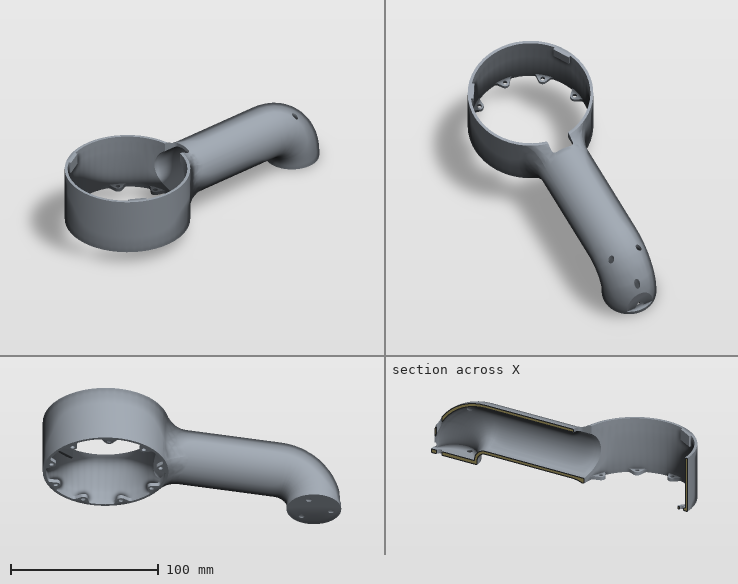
import cadquery as cq
import math

RING_RADIUS = 42.5
RING_BORE_RADIUS = 40.5
RING_HEIGHT = 40.0
WALL_MIDDLE_RADIUS = (RING_RADIUS + RING_BORE_RADIUS) / 2

ARM_RADIUS = 18.5
ARM_BORE_RADIUS = 16.0
ARM_HEIGHT = RING_HEIGHT / 2
ARM_ROOT_FILLET = 20.0

BEND_START = 120.0
BEND_RADIUS = 25.0
FLANGE_THICKNESS = 3.0
FLANGE_Y = BEND_START + BEND_RADIUS
FLANGE_TOP = ARM_HEIGHT - BEND_RADIUS
FLAT_FROM_FLANGE_CENTRE = 15.7

SCREW_COUNT = 3
SCREW_CIRCLE_RADIUS = 12.0
SCREW_HOLE_RADIUS = 2.0

SLOT_WIDTH = 16.0
SLOT_END = 49.0
SLOT_CORNER_RADIUS = 2.5

EAR_COUNT = 9
EAR_CIRCLE_RADIUS = 37.5
EAR_RADIUS = 3.0
EAR_HOLE_RADIUS = 1.5
EAR_THICKNESS = 2.5
EAR_FLANK_ANGLE = 36.0
EAR_ROOT_FILLET = 2.0
EAR_FIRST_ANGLE = -90.0

PAD_ANGLES = (-30.0, -150.0)
PAD_DISTANCE = 38.3
PAD_WIDTH = 12.5
PAD_HEIGHT = 8.0

ROOT_MARGIN = 1.0
TOLERANCE = 0.01


def cylinder(radius, height, bottom=0.0, x=0.0, y=0.0):
    return cq.Workplane("XY", origin=(x, y, bottom)).circle(radius).extrude(height)


def arm_section(y):
    """Workplane across the arm axis, with its local x axis pointing along Z."""
    return cq.Workplane(cq.Plane(origin=(0, y, ARM_HEIGHT), xDir=(0, 0, 1), normal=(0, 1, 0)))


def arm_run(radius):
    """Straight rod from the ring centre to the start of the bend."""
    return arm_section(0).circle(radius).extrude(BEND_START)


def elbow(radius):
    """Quarter torus from the end of the arm down to the flange."""
    section = arm_section(BEND_START).circle(radius)
    return section.revolve(90, (-BEND_RADIUS, 1, 0), (-BEND_RADIUS, -1, 0))


def ear_blank():
    """Rounded ear with flared flanks, pointing along +X before it is turned."""
    angle = math.radians(EAR_FLANK_ANGLE)
    tangent_x = EAR_CIRCLE_RADIUS - EAR_RADIUS * math.sin(angle)
    tangent_y = EAR_RADIUS * math.cos(angle)
    root_x = RING_BORE_RADIUS
    root_y = tangent_y + (root_x - tangent_x) * math.tan(angle)
    return (
        cq.Workplane("XY")
        .moveTo(root_x, -root_y)
        .lineTo(tangent_x, -tangent_y)
        .threePointArc((EAR_CIRCLE_RADIUS - EAR_RADIUS, 0), (tangent_x, tangent_y))
        .lineTo(root_x, root_y)
        .close()
        .extrude(EAR_THICKNESS)
    )


def filleted_shell():
    """Solid ring disc and arm, blended where they meet."""
    disc = cylinder(RING_RADIUS, RING_HEIGHT)
    joined = disc.union(arm_run(ARM_RADIUS))
    root_edge = joined.edges(
        cq.selectors.BoxSelector(
            (-ARM_RADIUS, RING_RADIUS / 2, ROOT_MARGIN),
            (ARM_RADIUS, RING_RADIUS + ROOT_MARGIN, RING_HEIGHT - ROOT_MARGIN),
        )
    )
    return root_edge.fillet(ARM_ROOT_FILLET)


def flanged_elbow():
    """Elbow with a flat on its back, on its round flange plate."""
    flat_y = FLANGE_Y + FLAT_FROM_FLANGE_CENTRE
    behind_flat = cq.Workplane("XY", origin=(0, flat_y, FLANGE_TOP)).box(
        2 * ARM_RADIUS, ARM_RADIUS, RING_HEIGHT, centered=(True, False, False)
    )
    flange = cylinder(ARM_RADIUS, FLANGE_THICKNESS, FLANGE_TOP - FLANGE_THICKNESS, y=FLANGE_Y)
    return elbow(ARM_RADIUS).cut(elbow(ARM_BORE_RADIUS)).cut(behind_flat).union(flange)


def screw_holes():
    holes = cq.Workplane("XY", origin=(0, FLANGE_Y, FLANGE_TOP - FLANGE_THICKNESS))
    holes = holes.polarArray(SCREW_CIRCLE_RADIUS, 90, 360, SCREW_COUNT)
    return holes.circle(SCREW_HOLE_RADIUS).extrude(RING_HEIGHT + FLANGE_THICKNESS - FLANGE_TOP)


def arm_slot():
    """Slot from the ring bore along the arm, down to the middle of the arm."""
    slot = cq.Workplane("XY", origin=(0, 0, ARM_HEIGHT))
    slot = slot.box(SLOT_WIDTH, SLOT_END, ARM_HEIGHT, centered=(True, False, False))
    return slot.edges("|Z and >Y").fillet(SLOT_CORNER_RADIUS)


def ears():
    hole = cylinder(EAR_HOLE_RADIUS, EAR_THICKNESS, x=EAR_CIRCLE_RADIUS)
    ear = ear_blank().cut(hole)
    angles = [EAR_FIRST_ANGLE + index * 360 / EAR_COUNT for index in range(EAR_COUNT)]
    return [ear.rotate((0, 0, 0), (0, 0, 1), angle) for angle in angles]


def pads():
    """Blocks at the top of the ring bore, rooted in the ring wall."""
    pad = cq.Workplane("XY", origin=(PAD_DISTANCE, 0, RING_HEIGHT - PAD_HEIGHT)).box(
        WALL_MIDDLE_RADIUS - PAD_DISTANCE, PAD_WIDTH, PAD_HEIGHT, centered=(False, True, False)
    )
    return [pad.rotate((0, 0, 0), (0, 0, 1), angle) for angle in PAD_ANGLES]


def fillet_ear_roots(part):
    """Blend the ear flanks into the ring bore."""

    def is_ear_root(edge):
        centre = edge.Center()
        on_bore = abs(math.hypot(centre.x, centre.y) - RING_BORE_RADIUS) < TOLERANCE
        return on_bore and centre.z < EAR_THICKNESS

    return part.edges("|Z").filter(is_ear_root).fillet(EAR_ROOT_FILLET)


body = filleted_shell()
body = body.cut(arm_run(ARM_BORE_RADIUS))
body = body.cut(cylinder(RING_BORE_RADIUS, RING_HEIGHT))
body = body.cut(arm_slot())
body = body.union(flanged_elbow().cut(screw_holes()))
for ear in ears():
    body = body.union(ear)
body = fillet_ear_roots(body)
for pad in pads():
    body = body.union(pad)
result = body